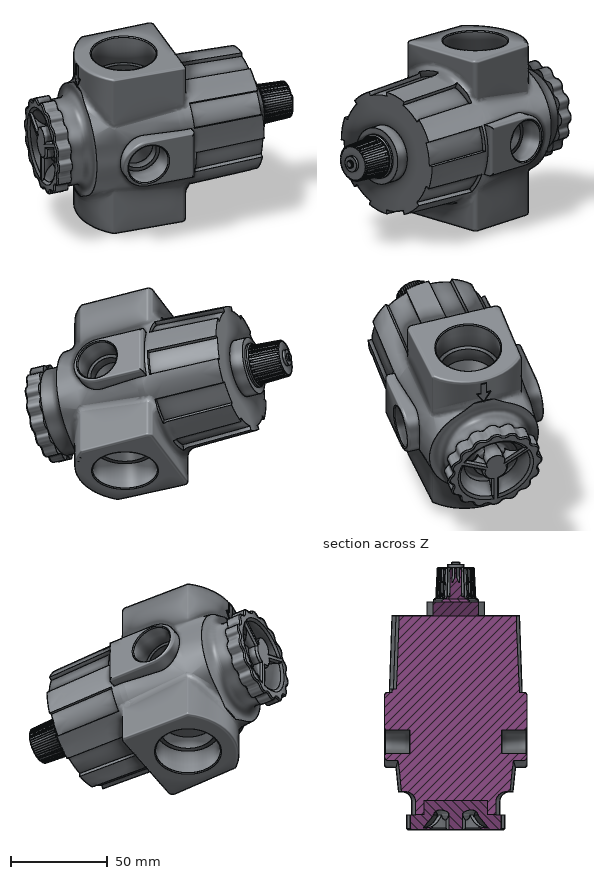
import cadquery as cq
import math


FRONT_FACE_Y = -25.9
CREST_Y = 21.3
BARREL_REAR_Y = 65.2
FRONT_FACE_RADIUS = 29.6
BEVEL_RADIUS = 32.0
CREST_RADIUS = 34.5
REAR_RADIUS = 33.0
CREST_BLEND = 24.9

GROOVE_COUNT = 8
GROOVE_PITCH = 360 / GROOVE_COUNT
GROOVE_ANGLE = GROOVE_PITCH / 2
GROOVE_DEPTH = 2.1
GROOVE_FRONT_Y = 27.3

PORT_HALF_HEIGHT = 46.4
BLOCK_REAR_Y = 25.5
BLOCK_REAR_HALF_WIDTH = 25.3
BLOCK_CORNER_HALF_WIDTH = 24.2
BLOCK_CORNER_Y = -14.4
BLOCK_FRONT_Y = -25.5
BLOCK_BLEND = 5.0
BLOCK_REAR_ROUND = 2.6
BLOCK_CORNER_ROUND = 1.5
EDGE_ROUND = 1.7

BOSS_HALF_SPAN = 36.88
BOSS_RADIUS = 13.4

DRILL_TIP_ANGLE = 118
PORT_RADIUS = 16.7
PORT_DEPTH = 15.6
PORT_DRILL_RADIUS = 14.5
PORT_DRILL_DEPTH = 23.5
SIDE_RADIUS = 11.0
SIDE_DEPTH = 13.0
SIDE_DRILL_RADIUS = 9.0
SIDE_DRILL_DEPTH = 18.0
RIM_CHAMFER = 0.5

COLLAR_RADIUS = 22.8
COLLAR_FRONT_Y = -37.8
COLLAR_BLEND = 5.0

ARROW_TOP_Z = 44.5
ARROW_TIP_Z = 31.4
ARROW_HEAD_LENGTH = 6.4
ARROW_HEAD_HALF_WIDTH = 3.7
ARROW_SHAFT_HALF_WIDTH = 1.5
ARROW_HEIGHT = 0.4

WHEEL_FRONT_Y = -45.5
LOBE_COUNT = 16
LOBE_TIP_RADIUS = 25.3
LOBE_FLANK_RADIUS = 24.1
LOBE_HALF_ANGLE = 7.2
WHEEL_CHAMFER = 0.7
SPIGOT_RADIUS = 18.7
SPIGOT_REAR_Y = -30.5
MOUTH_RADIUS = 20.5
LIP_RADIUS = 19.0
BEVEL_DEPTH = 1.1
BOWL_STEP_RADIUS = 16.9
BOWL_STEP_DEPTH = 4.2
BOWL_RADIUS = 14.5
BOWL_DEPTH = 7.7
CORE_RADIUS = 9.7
CORE_FACE_RADIUS = 7.2
CORE_FACE_DEPTH = 5.0
HUB_RADIUS = 5.8
HUB_BASE_RADIUS = 6.8
HUB_EAR_RADIUS = 5.0
HUB_EAR_OFFSET = 5.7
SPOKE_COUNT = 3
SPOKE_FRONT_HALF_WIDTH = 0.9
SPOKE_HALF_WIDTH = 2.0
SPOKE_ARCH_RADIUS = 13.0
SPOKE_ARCH_DEPTH = 3.2

NECK_RADIUS = 15.0
NECK_REAR_Y = 72.2
FLANGE_RADIUS = 11.6
FLANGE_REAR_Y = 73.9
FLANGE_CHAMFER = 0.7
KNOB_FRONT_RADIUS = 10.4
KNOB_REAR_RADIUS = 9.5
KNOB_REAR_Y = 90.1
KNOB_CHAMFER = 0.5
FLUTE_COUNT = 24
FLUTE_WIDTH = 1.2
FLUTE_DEPTH = 0.7
FLUTE_START = 0.5
WASHER_RADIUS = 4.2
WASHER_REAR_Y = 91.6
TIP_RADIUS = 2.1
TIP_REAR_Y = 92.9
TIP_CHAMFER = 0.4


def polar(radius, degrees):
    """Point at a radius and angle in a sketch plane."""
    angle = math.radians(degrees)
    return (radius * math.cos(angle), radius * math.sin(angle))


def turned(profile):
    """Revolve a closed (radius, Y) profile about the Y axis."""
    return profile.close().revolve(360, (0, 0, 0), (0, 1, 0))


def disc(radius, front_y, rear_y):
    """Cylinder on the Y axis between two Y positions."""
    return cq.Workplane("XZ", origin=(0, front_y, 0)).circle(radius).extrude(front_y - rear_y)


def around_axis(body, index, count):
    """Copy of a body turned about the Y axis to one of evenly spaced places."""
    return body.rotate((0, 0, 0), (0, 1, 0), index * 360 / count)


def barrel_radius(y):
    """Outer radius of the barrel behind its crest."""
    slope = (REAR_RADIUS - CREST_RADIUS) / (BARREL_REAR_Y - CREST_Y)
    return CREST_RADIUS + slope * (y - CREST_Y)


def make_barrel(front_y):
    """Double cone whose front end is extended along its taper to front_y."""
    taper = (CREST_RADIUS - FRONT_FACE_RADIUS) / (CREST_Y - FRONT_FACE_Y)
    front_radius = FRONT_FACE_RADIUS + taper * (front_y - FRONT_FACE_Y)
    profile = (
        cq.Workplane("XY")
        .moveTo(0, front_y)
        .lineTo(front_radius, front_y)
        .lineTo(CREST_RADIUS, CREST_Y)
        .lineTo(REAR_RADIUS, BARREL_REAR_Y)
        .lineTo(0, BARREL_REAR_Y)
    )
    crest = cq.selectors.BoxSelector((-41.5, CREST_Y - 1.4, -41.5), (41.5, CREST_Y + 1.4, 41.5))
    return turned(profile).edges(crest).fillet(CREST_BLEND)


def make_block():
    """Port block: flat rear, tapering sides and a front rounded to an arc."""
    block = (
        cq.Workplane("XY", origin=(0, 0, -PORT_HALF_HEIGHT))
        .moveTo(-BLOCK_REAR_HALF_WIDTH, BLOCK_REAR_Y)
        .lineTo(-BLOCK_CORNER_HALF_WIDTH, BLOCK_CORNER_Y)
        .threePointArc((0, BLOCK_FRONT_Y), (BLOCK_CORNER_HALF_WIDTH, BLOCK_CORNER_Y))
        .lineTo(BLOCK_REAR_HALF_WIDTH, BLOCK_REAR_Y)
        .close()
        .extrude(2 * PORT_HALF_HEIGHT)
    )
    front_corners = cq.selectors.BoxSelector(
        (-BLOCK_REAR_HALF_WIDTH, BLOCK_CORNER_Y - 1.4, -1.4), (BLOCK_REAR_HALF_WIDTH, BLOCK_CORNER_Y + 1.4, 1.4)
    )
    block = block.edges(front_corners).fillet(BLOCK_CORNER_ROUND)
    return block.edges("|Z and >Y").fillet(BLOCK_REAR_ROUND)


def make_front_trim(front_y):
    """Cutter for the front face, bevelled outside it where the block blend runs out."""
    profile = (
        cq.Workplane("XY")
        .moveTo(0, FRONT_FACE_Y)
        .lineTo(FRONT_FACE_RADIUS, FRONT_FACE_Y)
        .lineTo(BEVEL_RADIUS, BLOCK_FRONT_Y)
        .lineTo(BEVEL_RADIUS, front_y)
        .lineTo(0, front_y)
    )
    return turned(profile)


def make_blended_body():
    """Barrel and port block joined by a fillet that runs out at the front face."""
    overrun = 2 * BLOCK_BLEND
    barrel = make_barrel(FRONT_FACE_Y - overrun)
    block = make_block()
    body = barrel.union(block)
    seams = [
        edge
        for edge in body.edges().vals()
        if edge.geomType() not in ("LINE", "CIRCLE") and abs(edge.Center().x) <= BLOCK_REAR_HALF_WIDTH
    ]
    body = body.newObject(seams).fillet(BLOCK_BLEND)
    body = body.faces("<Z or >Z").edges().fillet(EDGE_ROUND)
    return body.cut(make_front_trim(FRONT_FACE_Y - 2 * overrun))


def make_grip_groove():
    """Sector cutter whose floor follows the barrel taper."""
    rear_floor = barrel_radius(BARREL_REAR_Y) - GROOVE_DEPTH
    front_floor = barrel_radius(GROOVE_FRONT_Y) - GROOVE_DEPTH
    outside = 1.2 * CREST_RADIUS
    return (
        cq.Workplane("XY")
        .moveTo(front_floor, GROOVE_FRONT_Y)
        .lineTo(rear_floor, BARREL_REAR_Y)
        .lineTo(outside, BARREL_REAR_Y)
        .lineTo(outside, GROOVE_FRONT_Y)
        .close()
        .revolve(GROOVE_ANGLE, (0, 0, 0), (0, 1, 0))
    )


def make_bosses():
    """Side bosses as one bar through the housing: square at the rear, round at the front."""
    bar = (
        cq.Workplane("YZ", origin=(-BOSS_HALF_SPAN, 0, 0))
        .moveTo(BLOCK_REAR_Y, -BOSS_RADIUS)
        .lineTo(BLOCK_REAR_Y, BOSS_RADIUS)
        .lineTo(0, BOSS_RADIUS)
        .threePointArc((-BOSS_RADIUS, 0), (0, -BOSS_RADIUS))
        .close()
        .extrude(2 * BOSS_HALF_SPAN)
    )
    return bar.faces("<X or >X").edges().fillet(EDGE_ROUND)


def make_port_cutter(face, radius, depth, drill_radius, drill_depth):
    """Stepped hole along Z, sunk from Z = face towards the centre."""
    tip_length = drill_radius / math.tan(math.radians(DRILL_TIP_ANGLE / 2))
    return (
        cq.Workplane("XZ")
        .moveTo(0, face)
        .lineTo(radius + RIM_CHAMFER, face)
        .lineTo(radius, face - RIM_CHAMFER)
        .lineTo(radius, face - depth)
        .lineTo(drill_radius, face - depth)
        .lineTo(drill_radius, face - drill_depth)
        .lineTo(0, face - drill_depth - tip_length)
        .close()
        .revolve(360, (0, 0, 0), (0, 1, 0))
    )


def make_collar():
    """Collar on the front face with a concave blend at its root."""
    blend_middle = COLLAR_BLEND * (1 - math.sqrt(0.5))
    profile = (
        cq.Workplane("XY")
        .moveTo(0, FRONT_FACE_Y)
        .lineTo(COLLAR_RADIUS + COLLAR_BLEND, FRONT_FACE_Y)
        .threePointArc(
            (COLLAR_RADIUS + blend_middle, FRONT_FACE_Y - blend_middle),
            (COLLAR_RADIUS, FRONT_FACE_Y - COLLAR_BLEND),
        )
        .lineTo(COLLAR_RADIUS, COLLAR_FRONT_Y)
        .lineTo(0, COLLAR_FRONT_Y)
    )
    return turned(profile)


def make_arrow():
    """Raised arrow that follows the curved front of the port block."""
    head_z = ARROW_TIP_Z + ARROW_HEAD_LENGTH
    return (
        cq.Workplane("XZ", origin=(0, BLOCK_FRONT_Y + 2 * ARROW_HEIGHT, 0))
        .moveTo(0, ARROW_TIP_Z)
        .lineTo(ARROW_HEAD_HALF_WIDTH, head_z)
        .lineTo(ARROW_SHAFT_HALF_WIDTH, head_z)
        .lineTo(ARROW_SHAFT_HALF_WIDTH, ARROW_TOP_Z)
        .lineTo(-ARROW_SHAFT_HALF_WIDTH, ARROW_TOP_Z)
        .lineTo(-ARROW_SHAFT_HALF_WIDTH, head_z)
        .lineTo(-ARROW_HEAD_HALF_WIDTH, head_z)
        .close()
        .extrude(3 * ARROW_HEIGHT)
    )


def make_housing():
    housing = make_blended_body().union(make_bosses())
    for index in range(GROOVE_COUNT):
        housing = housing.cut(around_axis(make_grip_groove(), index, GROOVE_COUNT))
    housing = housing.union(make_collar()).union(make_arrow())

    port = make_port_cutter(PORT_HALF_HEIGHT, PORT_RADIUS, PORT_DEPTH, PORT_DRILL_RADIUS, PORT_DRILL_DEPTH)
    side = make_port_cutter(BOSS_HALF_SPAN, SIDE_RADIUS, SIDE_DEPTH, SIDE_DRILL_RADIUS, SIDE_DRILL_DEPTH)
    for turn in (0, 180):
        housing = housing.cut(port.rotate((0, 0, 0), (0, 1, 0), turn))
        housing = housing.cut(side.rotate((0, 0, 0), (0, 1, 0), turn + 90))
    return housing.cut(disc(SPIGOT_RADIUS, COLLAR_FRONT_Y, SPIGOT_REAR_Y))


def make_wheel():
    """Wheel rim of convex lobes joined by tangent concave valleys."""
    pitch = 360 / LOBE_COUNT
    rim = cq.Workplane("XZ", origin=(0, WHEEL_FRONT_Y, 0)).moveTo(*polar(LOBE_FLANK_RADIUS, -LOBE_HALF_ANGLE))
    for lobe in range(LOBE_COUNT):
        middle = lobe * pitch
        rim = rim.threePointArc(
            polar(LOBE_TIP_RADIUS, middle),
            polar(LOBE_FLANK_RADIUS, middle + LOBE_HALF_ANGLE),
        ).tangentArcPoint(polar(LOBE_FLANK_RADIUS, middle + pitch - LOBE_HALF_ANGLE), relative=False)
    wheel = rim.close().extrude(WHEEL_FRONT_Y - COLLAR_FRONT_Y)
    return wheel.faces("<Y").edges().chamfer(WHEEL_CHAMFER)


def make_bowl():
    """Ring-shaped cavity around the hub: bevelled mouth, rounded bottom and a rounded core."""
    bottom_radius = (BOWL_RADIUS - CORE_RADIUS) / 2
    shoulder_run = (CORE_RADIUS - CORE_FACE_RADIUS) * math.sqrt(0.5)
    shoulder_drop = (BOWL_DEPTH - CORE_FACE_DEPTH) * (1 - math.sqrt(0.5))
    profile = (
        cq.Workplane("XY", origin=(0, WHEEL_FRONT_Y, 0))
        .moveTo(HUB_RADIUS, 0)
        .lineTo(MOUTH_RADIUS, 0)
        .lineTo(LIP_RADIUS, BEVEL_DEPTH)
        .lineTo(BOWL_STEP_RADIUS, BOWL_STEP_DEPTH)
        .lineTo(BOWL_RADIUS, BOWL_DEPTH)
        .threePointArc((CORE_RADIUS + bottom_radius, BOWL_DEPTH + bottom_radius), (CORE_RADIUS, BOWL_DEPTH))
        .threePointArc(
            (CORE_FACE_RADIUS + shoulder_run, CORE_FACE_DEPTH + shoulder_drop),
            (CORE_FACE_RADIUS, CORE_FACE_DEPTH),
        )
        .lineTo(HUB_BASE_RADIUS, CORE_FACE_DEPTH)
        .lineTo(HUB_BASE_RADIUS, BEVEL_DEPTH)
    )
    return turned(profile)


def make_spoke():
    """Spoke below the hub: bevelled front edges and an arched rear, deepest at the core."""
    bottom = BOWL_DEPTH + BOWL_RADIUS - CORE_RADIUS
    section = (
        cq.Workplane("XY", origin=(0, WHEEL_FRONT_Y, 0))
        .moveTo(-SPOKE_FRONT_HALF_WIDTH, 0)
        .lineTo(SPOKE_FRONT_HALF_WIDTH, 0)
        .lineTo(SPOKE_HALF_WIDTH, BEVEL_DEPTH)
        .lineTo(SPOKE_HALF_WIDTH, bottom)
        .lineTo(-SPOKE_HALF_WIDTH, bottom)
        .lineTo(-SPOKE_HALF_WIDTH, BEVEL_DEPTH)
        .close()
        .extrude(-MOUTH_RADIUS)
    )
    side = (
        cq.Workplane("YZ", origin=(0, WHEEL_FRONT_Y, 0))
        .lineTo(0, -MOUTH_RADIUS)
        .lineTo(BEVEL_DEPTH, -MOUTH_RADIUS)
        .threePointArc((SPOKE_ARCH_DEPTH, -SPOKE_ARCH_RADIUS), (BOWL_DEPTH, -CORE_RADIUS))
        .lineTo(BOWL_DEPTH, 0)
        .close()
        .extrude(SPOKE_HALF_WIDTH, both=True)
    )
    return section.intersect(side)


def make_plug():
    bowl = make_bowl()
    ear = disc(HUB_EAR_RADIUS, WHEEL_FRONT_Y, SPIGOT_REAR_Y).translate((0, 0, HUB_EAR_OFFSET))
    inside = ear
    for index in range(SPOKE_COUNT):
        inside = inside.union(around_axis(make_spoke(), index, SPOKE_COUNT))
    spigot = disc(SPIGOT_RADIUS, COLLAR_FRONT_Y, SPIGOT_REAR_Y)
    return make_wheel().union(spigot).cut(bowl.cut(inside))


def make_neck():
    return disc(NECK_RADIUS, BARREL_REAR_Y, NECK_REAR_Y)


def make_flange():
    return disc(FLANGE_RADIUS, NECK_REAR_Y, FLANGE_REAR_Y).faces(">Y").edges().chamfer(FLANGE_CHAMFER)


def make_flute():
    """Cutter for one flute: floor parallel to the knob taper, ramped at the front end."""
    start_y = FLANGE_REAR_Y + FLUTE_START
    return (
        cq.Workplane("XY")
        .moveTo(KNOB_FRONT_RADIUS, start_y)
        .lineTo(KNOB_FRONT_RADIUS - FLUTE_DEPTH, start_y + FLUTE_DEPTH)
        .lineTo(KNOB_REAR_RADIUS - FLUTE_DEPTH, KNOB_REAR_Y)
        .lineTo(KNOB_FRONT_RADIUS, KNOB_REAR_Y)
        .close()
        .extrude(FLUTE_WIDTH / 2, both=True)
    )


def make_knob():
    profile = (
        cq.Workplane("XY")
        .moveTo(0, FLANGE_REAR_Y)
        .lineTo(KNOB_FRONT_RADIUS, FLANGE_REAR_Y)
        .lineTo(KNOB_REAR_RADIUS, KNOB_REAR_Y)
        .lineTo(0, KNOB_REAR_Y)
    )
    knob = turned(profile).faces(">Y").edges().chamfer(KNOB_CHAMFER)
    first_flute = make_flute().rotate((0, 0, 0), (0, 1, 0), 180 / FLUTE_COUNT)
    for index in range(FLUTE_COUNT):
        knob = knob.cut(around_axis(first_flute, index, FLUTE_COUNT))
    return knob


def make_washer():
    return disc(WASHER_RADIUS, KNOB_REAR_Y, WASHER_REAR_Y)


def make_stem_tip():
    return disc(TIP_RADIUS, WASHER_REAR_Y, TIP_REAR_Y).faces(">Y").edges().chamfer(TIP_CHAMFER)


housing = make_housing()
plug = make_plug()
neck = make_neck()
flange = make_flange()
knob = make_knob()
washer = make_washer()
stem_tip = make_stem_tip()

result = cq.Compound.makeCompound(
    [
        housing.val(),
        plug.val(),
        neck.val(),
        flange.val(),
        knob.val(),
        washer.val(),
        stem_tip.val(),
    ]
)